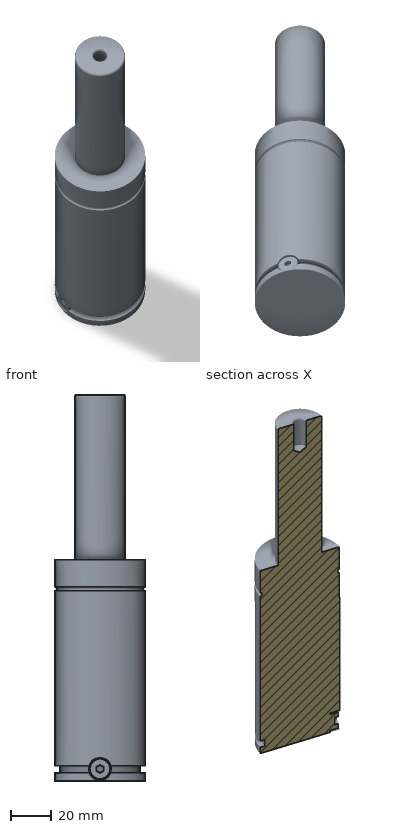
import cadquery as cq
import math

total_height = 192.0
body_diameter = 45.0
body_height = 110.0
rod_diameter = 25.0
rod_edge_radius = 1.0

base_flange_height = 4.0
mounting_groove_top = 7.5
mounting_groove_diameter = 40.0

cap_groove_height = 95.5
cap_groove_radius = 1.0

tap_diameter = 6.8
tap_mouth_diameter = 8.0
tap_depth = 16.0
drill_point_angle = 118.0

valve_height = 6.0
pocket_diameter = 11.0
pocket_floor_y = -17.0
plug_diameter = 10.0
plug_face_y = -21.9
plug_edge_radius = 0.5
socket_across_flats = 3.5
socket_depth = 2.0


def mounting_groove():
    """Square-cornered ring cut around the body above the base flange."""
    ring = cq.Workplane("XY").workplane(offset=base_flange_height)
    ring = ring.circle(body_diameter).circle(mounting_groove_diameter / 2)
    return ring.extrude(mounting_groove_top - base_flange_height)


def cap_groove():
    """Torus centred on the body surface, which cuts a half-round groove."""
    section = cq.Workplane("XZ").center(body_diameter / 2, cap_groove_height).circle(cap_groove_radius)
    return section.revolve(360, (-body_diameter / 2, 0, 0), (-body_diameter / 2, 1, 0))


def cylinder_with_rod():
    """Body and rod as one revolved profile, with a rounded rod end."""
    rod_radius = rod_diameter / 2
    profile = (
        cq.Workplane("XZ")
        .lineTo(body_diameter / 2, 0)
        .lineTo(body_diameter / 2, body_height)
        .lineTo(rod_radius, body_height)
        .lineTo(rod_radius, total_height)
        .lineTo(0, total_height)
        .close()
    )
    solid = profile.revolve(360, (0, 0, 0), (0, 1, 0))
    return solid.faces(">Z").edges().fillet(rod_edge_radius)


def tapped_hole():
    """Drilled hole with a 45 degree mouth chamfer and a conical drill point."""
    tap_radius = tap_diameter / 2
    mouth_radius = tap_mouth_diameter / 2
    drill_end = total_height - tap_depth
    point_length = tap_radius / math.tan(math.radians(drill_point_angle / 2))
    profile = (
        cq.Workplane("XZ")
        .moveTo(0, total_height)
        .lineTo(mouth_radius, total_height)
        .lineTo(tap_radius, total_height - (mouth_radius - tap_radius))
        .lineTo(tap_radius, drill_end)
        .lineTo(0, drill_end - point_length)
        .close()
    )
    return profile.revolve(360, (0, 0, 0), (0, 1, 0))


def valve_plane(y):
    """Workplane on the valve axis at the given Y, with its normal along -Y."""
    return cq.Workplane("XZ", origin=(0, y, valve_height))


def valve_pocket():
    """Round pocket that leaves a narrow ring of clearance around the plug."""
    pocket_length = body_diameter / 2 + pocket_floor_y
    return valve_plane(pocket_floor_y).circle(pocket_diameter / 2).extrude(pocket_length)


def valve_plug():
    """Plug standing on the pocket floor, with a rounded edge and a hexagonal key socket."""
    plug_length = pocket_floor_y - plug_face_y
    plug = valve_plane(pocket_floor_y).circle(plug_diameter / 2).extrude(plug_length)
    plug = plug.faces("<Y").edges().fillet(plug_edge_radius)

    socket_across_corners = socket_across_flats / math.cos(math.pi / 6)
    socket_floor = valve_plane(plug_face_y + socket_depth).transformed(rotate=(0, 0, 30))
    socket = socket_floor.polygon(6, socket_across_corners).extrude(socket_depth)
    return plug.cut(socket)


result = cylinder_with_rod()
result = result.cut(mounting_groove())
result = result.cut(cap_groove())
result = result.cut(tapped_hole())
result = result.cut(valve_pocket())
result = result.union(valve_plug())